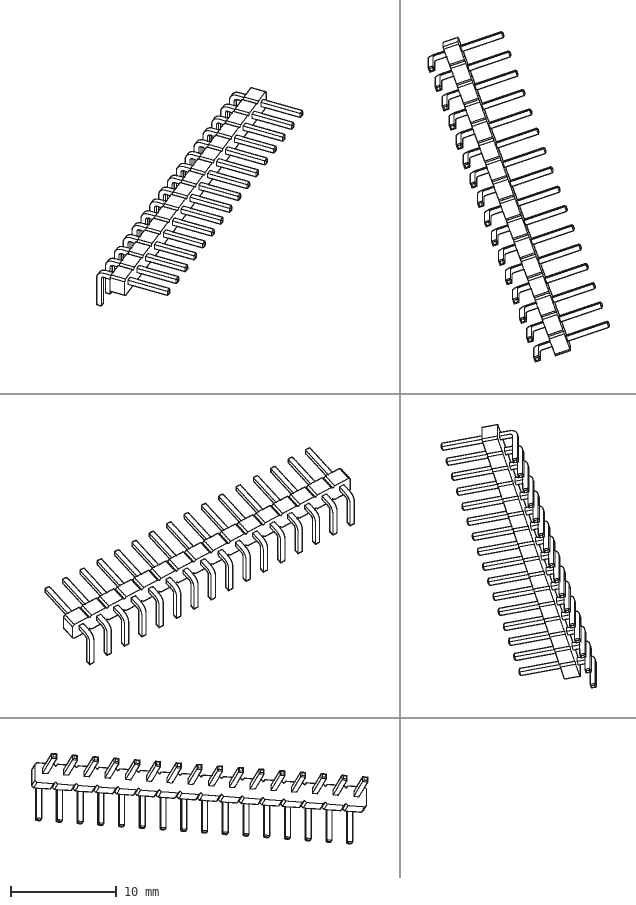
import cadquery as cq

strip_length = 32.0
pin_count = 16
pitch = strip_length / pin_count

body_width = 1.5
body_height = pitch
cell_chamfer = pitch / 10

pin_size = pitch / 4
bend_radius_inner = 0.25
bend_radius_outer = bend_radius_inner + pin_size
tip_chamfer = 0.112
pin_reach = 7.45
body_offset = 1.75

pin_axis_z = 1.2
overall_height = 4.65
leg_tip_z = body_height - overall_height
pin_top_z = pin_axis_z + pin_size / 2
pin_bottom_z = pin_axis_z - pin_size / 2


def cell(y_center):
    """One chamfered section of the bar; neighbours meet in V notches."""
    return (
        cq.Workplane("XY")
        .box(body_width, pitch, body_height, centered=(False, True, False))
        .edges("|X")
        .chamfer(cell_chamfer)
        .translate((body_offset, y_center, 0))
    )


def pin(y_center):
    """Square pin bent down through a right angle, with both tips chamfered."""
    return (
        cq.Workplane("XZ")
        .moveTo(0, leg_tip_z)
        .lineTo(0, pin_top_z - bend_radius_outer)
        .radiusArc((bend_radius_outer, pin_top_z), bend_radius_outer)
        .lineTo(pin_reach, pin_top_z)
        .lineTo(pin_reach, pin_bottom_z)
        .lineTo(bend_radius_outer, pin_bottom_z)
        .radiusArc((pin_size, pin_top_z - bend_radius_outer), -bend_radius_inner)
        .lineTo(pin_size, leg_tip_z)
        .close()
        .extrude(pin_size / 2, both=True)
        .faces(">X or <Z")
        .edges()
        .chamfer(tip_chamfer)
        .translate((0, y_center, 0))
    )


row_centers = [(i - (pin_count - 1) / 2) * pitch for i in range(pin_count)]

header = cell(row_centers[0])
for y in row_centers[1:]:
    header = header.union(cell(y))
header = header.clean()
for y in row_centers:
    header = header.union(pin(y))

result = header